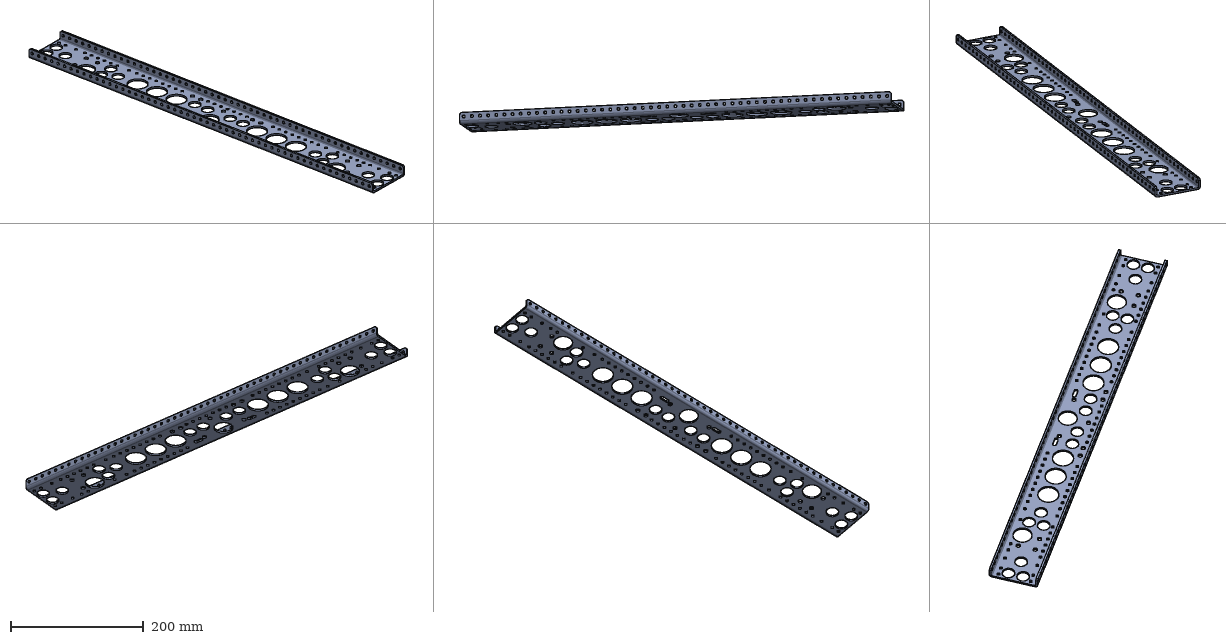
import cadquery as cq

length = 673.1
width = 76.2
height = 17.09
thickness = 3.175
bend_inner_radius = 1.2
bend_outer_radius = bend_inner_radius + thickness
flange_corner_chamfer = 2.5

pitch = 12.7
screw_diameter = 4.16
screw_row_y = 2 * pitch
flange_hole_z = height - pitch / 2
flange_hole_count = 53

upper_row_steps = [*range(1, 4), *range(7, 15), *range(17, 23), 25, 26]
lower_row_steps = [*range(6, 15), 17, 21, 22, 25, 26]

bolt_diameter = 6.35
bolt_pair_x = [50.8, 66.8]
bolt_pair_y = 23.4
centre_bolt_y = 16.1
slot_bolt_x = 38.1
slot_bolt_y = -18.2

station_x = 244.9
station_hole_y = -13.5
station_bolt_y = 13.5
station_bolt_spacing = 22.2
axle_offset = 51.8

bearing_diameter = 19.05
stacked_bearing_x = [217.0, 324.0]
stacked_bearing_y = 11.5
middle_bearing_x = [22.0, 47.2]
middle_bearing_y = 5.1

large_hole_diameter = 28.58
centre_hole_y = -16.5
window_diameter = 31.75
window_start_x = 79.0
window_pitch = 3 * pitch
window_count = 3

slot_x = 51.0
slot_y = -20.5
slot_length = 15.5
slot_width = 5.6


def channel():
    """U-channel along X, open upward, with rounded bends and clipped flange corners."""
    outer = (
        cq.Workplane("XY")
        .box(length, width, height, centered=(True, True, False))
        .edges("|X and <Z")
        .fillet(bend_outer_radius)
    )
    inner = (
        cq.Workplane("XY", origin=(0, 0, thickness))
        .box(length, width - 2 * thickness, height, centered=(True, True, False))
        .edges("|X and <Z")
        .fillet(bend_inner_radius)
    )
    return outer.cut(inner).edges("|Y and >Z").chamfer(flange_corner_chamfer)


def grid(xs, ys):
    """Every combination of the given X and Y places."""
    return [(x, y) for x in xs for y in ys]


def mirrored(points):
    """The points together with their mirror images about X = 0."""
    return points + [(-x, y) for x, y in points]


def floor_holes(points, diameter):
    """Cutters for round holes through the floor."""
    return cq.Workplane("XY").pushPoints(points).circle(diameter / 2).extrude(thickness)


def flange_screw_holes():
    """Cutters for the row of screw holes through both flanges."""
    return (
        cq.Workplane("XZ", origin=(0, width / 2, flange_hole_z))
        .rarray(pitch, 1, flange_hole_count, 1)
        .circle(screw_diameter / 2)
        .extrude(width)
    )


def floor_screw_holes():
    """Cutters for the two rows of screw holes in the floor."""
    points = grid([step * pitch for step in upper_row_steps], [screw_row_y])
    points += grid([step * pitch for step in lower_row_steps], [-screw_row_y])
    points += grid(axle_x, [screw_row_y, -screw_row_y])
    return floor_holes(mirrored(points) + [(0, screw_row_y)], screw_diameter)


def bolt_holes():
    """Cutters for the larger fastener holes."""
    points = grid(bolt_pair_x, [bolt_pair_y])
    points += grid([station_x + station_bolt_spacing], [station_bolt_y, -station_bolt_y])
    points += [(station_x, station_bolt_y), (slot_bolt_x, slot_bolt_y)]
    return floor_holes(mirrored(points) + [(0, centre_bolt_y)], bolt_diameter)


def bearing_holes():
    """Cutters for the single, stacked and middle bearing holes."""
    points = grid(axle_x, [0])
    points += grid(stacked_bearing_x, [stacked_bearing_y, -stacked_bearing_y])
    points += grid(middle_bearing_x, [middle_bearing_y])
    return floor_holes(mirrored(points), bearing_diameter)


def large_holes():
    """Cutters for the centre hole and the hole at each station."""
    points = mirrored([(station_x, station_hole_y)]) + [(0, centre_hole_y)]
    return floor_holes(points, large_hole_diameter)


def windows():
    """Cutters for the rows of lightening holes on the centreline."""
    window_x = [window_start_x + i * window_pitch for i in range(window_count)]
    return floor_holes(mirrored(grid(window_x, [0])), window_diameter)


def slots():
    """Cutters for the two slots."""
    return (
        cq.Workplane("XY")
        .pushPoints(mirrored([(slot_x, slot_y)]))
        .slot2D(slot_length, slot_width)
        .extrude(thickness)
    )


axle_x = [station_x - axle_offset, station_x + axle_offset]

result = channel()
for make_cutters in (
    flange_screw_holes,
    floor_screw_holes,
    bolt_holes,
    bearing_holes,
    large_holes,
    windows,
    slots,
):
    result = result.cut(make_cutters())